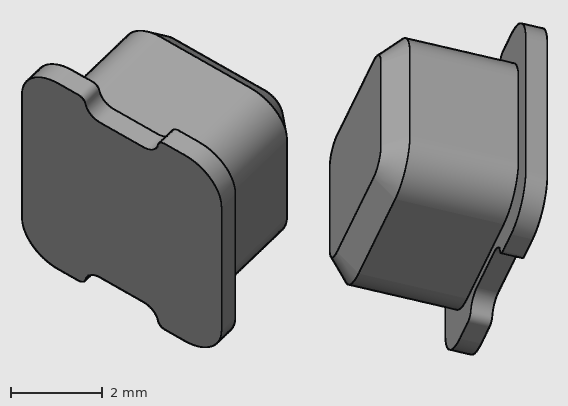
import cadquery as cq
import math

flange_width = 5.5
flange_height = 6.0
flange_thickness = 0.5
corner_radius = 1.0

notch_depth = 0.5
notch_floor_width = 1.2
notch_floor_radius = 0.4
notch_mouth_radius = 0.2

plug_size = 4.5
plug_length = 3.0
plug_chamfer = 0.5


def rounded_block(width, height, length, start_y):
    """Block centred on the Y axis, growing toward +Y, with rounded edges along Y."""
    return (
        cq.Workplane("XZ", origin=(0, start_y, 0))
        .rect(width, height)
        .extrude(-length)
        .edges("|Y")
        .fillet(corner_radius)
    )


def make_notch(side):
    """Cutter for the top (side=1) or bottom (side=-1) notch, each flank two arcs tangent to each other."""
    radius_sum = notch_floor_radius + notch_mouth_radius
    flank_angle = math.acos(1 - notch_depth / radius_sum)
    half_floor = notch_floor_width / 2
    half_mouth = half_floor + radius_sum * math.sin(flank_angle)
    half_joint = half_floor + notch_floor_radius * math.sin(flank_angle)
    mid_floor_arc = half_floor + notch_floor_radius * math.sin(flank_angle / 2)
    mid_mouth_arc = half_mouth - notch_mouth_radius * math.sin(flank_angle / 2)

    mouth_z = flange_height / 2
    floor_z = mouth_z - notch_depth
    joint_z = floor_z + notch_floor_radius * (1 - math.cos(flank_angle))
    mid_floor_arc_z = floor_z + notch_floor_radius * (1 - math.cos(flank_angle / 2))
    mid_mouth_arc_z = mouth_z - notch_mouth_radius * (1 - math.cos(flank_angle / 2))

    return (
        cq.Workplane("XZ")
        .moveTo(-half_mouth, side * mouth_z)
        .threePointArc((-mid_mouth_arc, side * mid_mouth_arc_z), (-half_joint, side * joint_z))
        .threePointArc((-mid_floor_arc, side * mid_floor_arc_z), (-half_floor, side * floor_z))
        .lineTo(half_floor, side * floor_z)
        .threePointArc((mid_floor_arc, side * mid_floor_arc_z), (half_joint, side * joint_z))
        .threePointArc((mid_mouth_arc, side * mid_mouth_arc_z), (half_mouth, side * mouth_z))
        .close()
        .extrude(-flange_thickness)
    )


flange = rounded_block(flange_width, flange_height, flange_thickness, 0)
for side in (1, -1):
    flange = flange.cut(make_notch(side))

plug = rounded_block(plug_size, plug_size, plug_length, flange_thickness)
plug = plug.faces(">Y").chamfer(plug_chamfer)

result = flange.union(plug)